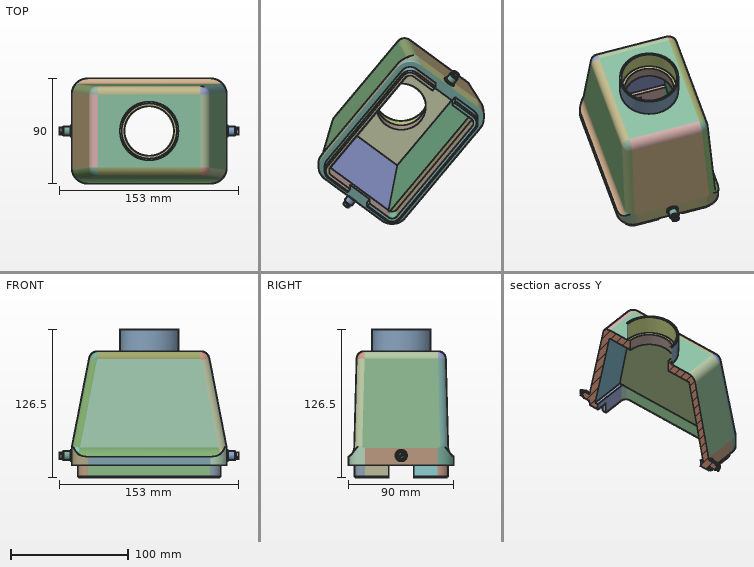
import cadquery as cq
import math

total_height = 126.5
hood_top_z = 108.0
flange_bottom_z = 10.5
shoulder_z = 17.0
cavity_top_z = 98.0
pin_z = 18.9

hood_top_half_x = 50.15
hood_top_half_y = 38.0
end_draft_deg = 11.0
side_draft_deg = 1.5
top_end_edge_radius = 8.0
side_edge_radius = 7.0
wall = 4.0
hood_wall = 8.0

flange_length = 132.4
flange_width = 90.0
flange_corner_radius = 14.0
flange_edge_radius = 0.5
foot_fillet_radius = 9.0

skirt_length = 122.0
skirt_width = 80.0
skirt_corner_radius = 9.0
skirt_edge_chamfer = 1.3
notch_width = 21.2

tube_diameter = 50.0
tube_bore_diameter = 47.0
entry_bore_diameter = 42.0
entry_ledge_z = 109.0

pin_tip_x = 76.5
pin_embed = 1.0
collar_diameter = 10.0
collar_length = 0.8
pin_diameter = 8.0
pin_neck_diameter = 7.3
pin_neck_length = 0.5
tip_length = 3.0
pin_shoulder_x = pin_tip_x - tip_length
pin_chamfer_length = 0.6
tip_groove_diameter = 5.0
tip_groove_length = 0.7
tip_diameter = 6.0
slot_width = 1.2
slot_depth = 1.6
slot_angle_deg = -45.0


def hood_section(z, inset):
    """Half sizes in X and Y of the hood at height z, moved inwards by inset."""
    drop = hood_top_z - z
    half_x = hood_top_half_x + drop * math.tan(math.radians(end_draft_deg)) - inset
    half_y = hood_top_half_y + drop * math.tan(math.radians(side_draft_deg)) - inset
    return half_x, half_y


def trapezoid(plane, bottom_half, top_half, bottom_z, top_z, half_depth):
    outline = [(-bottom_half, bottom_z), (bottom_half, bottom_z), (top_half, top_z), (-top_half, top_z)]
    return cq.Workplane(plane).polyline(outline).close().extrude(half_depth, both=True)


def end_profile(bottom_z, top_z, inset):
    """Prism along Y with the drafted ends of the hood."""
    bottom_half, _ = hood_section(bottom_z, inset)
    top_half, _ = hood_section(top_z, inset)
    return trapezoid("XZ", bottom_half, top_half, bottom_z, top_z, flange_width)


def side_profile(bottom_z, top_z, inset):
    """Prism along X with the drafted sides of the hood."""
    _, bottom_half = hood_section(bottom_z, inset)
    _, top_half = hood_section(top_z, inset)
    return trapezoid("YZ", bottom_half, top_half, bottom_z, top_z, flange_length)


def rounded_prism(length, width, corner_radius, bottom_z, top_z):
    return (
        cq.Workplane("XY", origin=(0, 0, bottom_z))
        .rect(length, width)
        .extrude(top_z - bottom_z)
        .edges("|Z")
        .fillet(corner_radius)
    )


def make_hood():
    """Drafted hood whose sides flow into a shoulder, trimmed to the flange outline."""
    shoulder = cq.Workplane("XY", origin=(0, 0, flange_bottom_z)).rect(
        2 * flange_length, flange_width + 2 * foot_fillet_radius
    )
    shoulder = shoulder.extrude(shoulder_z - flange_bottom_z)
    sides = side_profile(flange_bottom_z, hood_top_z, 0).union(shoulder)
    _, foot_half_y = hood_section(shoulder_z, 0)
    for foot_y in (-foot_half_y, foot_half_y):
        foot_edge = cq.selectors.NearestToPointSelector((0, foot_y, shoulder_z))
        sides = sides.edges(foot_edge).fillet(foot_fillet_radius)

    hood = sides.intersect(end_profile(flange_bottom_z, hood_top_z, 0))
    hood = hood.faces(">Z").edges("|Y").fillet(top_end_edge_radius)
    hood = hood.faces(">Z").edges("|X").fillet(side_edge_radius)

    outline = rounded_prism(
        flange_length, flange_width, flange_corner_radius, flange_bottom_z, hood_top_z
    )
    outline = outline.faces("<Z").edges().fillet(flange_edge_radius)
    return hood.intersect(outline)


def make_skirt():
    skirt = rounded_prism(skirt_length, skirt_width, skirt_corner_radius, 0, shoulder_z)
    return skirt.faces("<Z").edges().chamfer(skirt_edge_chamfer)


def entry_cylinder(diameter, bottom_z):
    """Cylinder about Z reaching from bottom_z up to the tube mouth."""
    return (
        cq.Workplane("XY", origin=(0, 0, bottom_z))
        .circle(diameter / 2)
        .extrude(total_height - bottom_z)
    )


def make_cavity():
    """Space inside the skirt, continued by the tapered space inside the hood."""
    skirt_space = rounded_prism(
        skirt_length - 2 * wall,
        skirt_width - 2 * wall,
        skirt_corner_radius - wall,
        0,
        shoulder_z,
    )
    hood_space = end_profile(shoulder_z, cavity_top_z, hood_wall).intersect(
        side_profile(shoulder_z, cavity_top_z, hood_wall)
    )
    return skirt_space.union(hood_space)


def make_notches():
    return cq.Workplane("XY").box(
        2 * skirt_length, notch_width, 2 * flange_bottom_z
    )


def make_pin():
    """Turned pin along +X with a screwdriver slot in its tip."""
    flange_x = flange_length / 2
    collar_x = flange_x + collar_length
    neck_x = collar_x + pin_neck_length
    profile = [
        (flange_x - pin_embed, 0),
        (flange_x - pin_embed, collar_diameter / 2),
        (collar_x, collar_diameter / 2),
        (collar_x, pin_neck_diameter / 2),
        (neck_x, pin_neck_diameter / 2),
        (neck_x, pin_diameter / 2),
        (pin_shoulder_x - pin_chamfer_length, pin_diameter / 2),
        (pin_shoulder_x, pin_neck_diameter / 2),
        (pin_shoulder_x, tip_groove_diameter / 2),
        (pin_shoulder_x + tip_groove_length, tip_groove_diameter / 2),
        (pin_shoulder_x + tip_groove_length, tip_diameter / 2),
        (pin_tip_x, tip_diameter / 2),
        (pin_tip_x, 0),
    ]
    pin = cq.Workplane("XY").polyline(profile).close().revolve(360, (0, 0, 0), (1, 0, 0))
    slot = cq.Workplane("XY").box(2 * slot_depth, slot_width, 2 * tip_diameter)
    slot = slot.rotate((0, 0, 0), (1, 0, 0), slot_angle_deg).translate((pin_tip_x, 0, 0))
    return pin.cut(slot).translate((0, 0, pin_z))


result = make_hood().union(make_skirt()).union(entry_cylinder(tube_diameter, cavity_top_z))
result = result.cut(make_cavity())
result = result.cut(entry_cylinder(tube_bore_diameter, entry_ledge_z))
result = result.cut(entry_cylinder(entry_bore_diameter, cavity_top_z))
result = result.cut(make_notches())
for turn_deg in (0, 180):
    result = result.union(make_pin().rotate((0, 0, 0), (0, 0, 1), turn_deg))